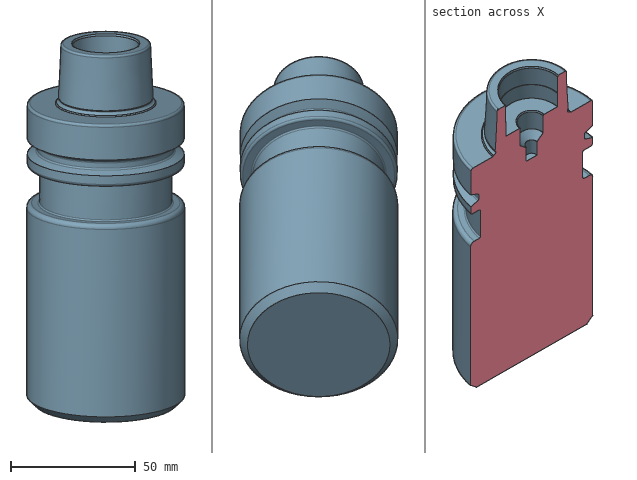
import cadquery as cq
import math

total_height = 150.0

body_diameter = 63.5
body_radius = body_diameter / 2
body_top = 83.4
body_chamfer = 3.2
body_top_fillet = 2.0

neck_radius = 26.5
neck_fillet = 0.6

flange_radius = 31.5
flange_bottom = 99.2
flange_top = 125.1
flange_fillet = 1.0
groove_radius = 27.5
groove_floor_bottom = 105.3
groove_floor_top = 108.5
groove_lower_lip = 103.8
groove_upper_lip = 110.4
groove_fillet = 0.8

taper_base_radius = 19.0
taper_tip_radius = 18.0
taper_base = 127.4
tip_fillet = 0.9
relief_radius = 18.6
relief_step = 0.5
relief_top = taper_base - relief_step
root_radius = 19.8
root_chamfer = 0.5
root_fillet = root_radius - relief_radius

bore_mouth_radius = 13.6
bore_radius = 13.4
bore_lower_radius = 13.2
bore_mouth_depth = 0.8
bore_step_depth = 9.9
bore_floor = 132.5

passage_mouth_radius = 6.3
passage_radius = 5.8
passage_depth = 10.0
passage_cone_depth = 3.2
pilot_radius = 2.7
pilot_depth = 7.5

match_tolerance = 0.02


def revolve_about_z(profile):
    return profile.close().revolve(360, (0, 0, 0), (0, 1, 0))


def is_ring(edge, radius, height):
    """True for a circular edge of this radius lying at this height."""
    if edge.geomType() != "CIRCLE":
        return False
    same_radius = math.isclose(edge.radius(), radius, abs_tol=match_tolerance)
    same_height = math.isclose(edge.Center().z, height, abs_tol=match_tolerance)
    return same_radius and same_height


def make_outside():
    root_bottom = flange_top + root_chamfer
    return revolve_about_z(
        cq.Workplane("XZ")
        .moveTo(0, 0)
        .lineTo(body_radius - body_chamfer, 0)
        .lineTo(body_radius, body_chamfer)
        .lineTo(body_radius, body_top)
        .lineTo(neck_radius, body_top)
        .lineTo(neck_radius, flange_bottom)
        .lineTo(flange_radius, flange_bottom)
        .lineTo(flange_radius, groove_lower_lip)
        .lineTo(groove_radius, groove_floor_bottom)
        .lineTo(groove_radius, groove_floor_top)
        .lineTo(flange_radius, groove_upper_lip)
        .lineTo(flange_radius, flange_top)
        .lineTo(root_radius + root_chamfer, flange_top)
        .lineTo(root_radius, root_bottom)
        .radiusArc((relief_radius, root_bottom + root_fillet), root_fillet)
        .lineTo(relief_radius, relief_top)
        .lineTo(taper_base_radius, taper_base)
        .lineTo(taper_tip_radius, total_height)
        .lineTo(0, total_height)
    )


def round_edges(solid):
    rounded_rings = [
        (body_radius, body_top, body_top_fillet),
        (neck_radius, body_top, neck_fillet),
        (neck_radius, flange_bottom, neck_fillet),
        (flange_radius, flange_bottom, flange_fillet),
        (groove_radius, groove_floor_bottom, groove_fillet),
        (groove_radius, groove_floor_top, groove_fillet),
        (flange_radius, flange_top, flange_fillet),
        (taper_tip_radius, total_height, tip_fillet),
    ]
    for radius, height, fillet in rounded_rings:
        rings = solid.edges().filter(lambda edge: is_ring(edge, radius, height))
        solid = rings.fillet(fillet)
    return solid


def make_cavity():
    passage_bottom = bore_floor - passage_depth
    cone_bottom = passage_bottom - passage_cone_depth
    pilot_bottom = cone_bottom - pilot_depth
    passage_chamfer = passage_mouth_radius - passage_radius
    return revolve_about_z(
        cq.Workplane("XZ")
        .moveTo(0, total_height)
        .lineTo(bore_mouth_radius, total_height)
        .lineTo(bore_radius, total_height - bore_mouth_depth)
        .lineTo(bore_radius, total_height - bore_step_depth)
        .lineTo(bore_lower_radius, total_height - bore_step_depth)
        .lineTo(bore_lower_radius, bore_floor)
        .lineTo(passage_mouth_radius, bore_floor)
        .lineTo(passage_radius, bore_floor - passage_chamfer)
        .lineTo(passage_radius, passage_bottom)
        .lineTo(pilot_radius, cone_bottom)
        .lineTo(pilot_radius, pilot_bottom)
        .lineTo(0, pilot_bottom)
    )


result = round_edges(make_outside()).cut(make_cavity())